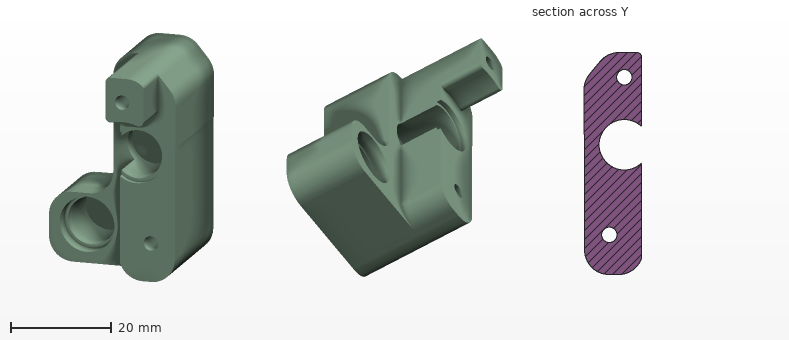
import cadquery as cq
import math

base_depth = 15.5
block_depth = 25.0
finger_depth = 34.5

height = 44.5
foot_height = 14.5
column_left = 13.5
lower_right = 29.5
upper_right = 29.63
right_jog_z = 28.1
corner_radius = 5.0
top_arc_x = 22.5
slope_angle = math.radians(50.3)

block_left = 18.0
block_bottom_arc_x = 22.7
finger_right = 26.0
finger_relief_radius = 9.5
small_radius = 1.0

foot_bore_center = (8.0, 8.0)
block_bore_center = (21.5, 26.0)
bore_radius = 5.0
bore_length = 11.5
counterbore_radius = 5.75
foot_counterbore_depth = 3.0
block_counterbore_depth = 1.0
screw_hole_centers = [(21.5, 39.5), (24.5, 8.0)]
screw_hole_radius = 1.5


def point_on_circle(center, radius, angle):
    """Point at an angle measured clockwise from +Z."""
    return (center[0] + radius * math.sin(angle), center[1] + radius * math.cos(angle))


def round_to(sketch, center, start_angle, end_angle):
    """Continue the outline with a corner arc about a center."""
    middle = point_on_circle(center, corner_radius, (start_angle + end_angle) / 2)
    end = point_on_circle(center, corner_radius, end_angle)
    return sketch.threePointArc(middle, end)


def add_right_side(sketch):
    """Continue from the start of the top right arc down to the bottom edge."""
    top_center = (top_arc_x, height - corner_radius)
    shoulder_x = upper_right - corner_radius
    shoulder_drop = (shoulder_x - top_arc_x) * math.tan(slope_angle)
    shoulder_center = (shoulder_x, top_center[1] - shoulder_drop)
    bottom_center = (lower_right - corner_radius, corner_radius)
    quarter = math.pi / 2

    sketch = round_to(sketch, top_center, 0, slope_angle)
    sketch = sketch.lineTo(*point_on_circle(shoulder_center, corner_radius, slope_angle))
    sketch = round_to(sketch, shoulder_center, slope_angle, quarter)
    sketch = sketch.lineTo(upper_right, right_jog_z).lineTo(lower_right, right_jog_z)
    sketch = sketch.lineTo(lower_right, corner_radius)
    return round_to(sketch, bottom_center, quarter, 2 * quarter)


def make_base():
    """L-shaped plate against the back face."""
    quarter = math.pi / 2
    column_center = (column_left + corner_radius, height - corner_radius)
    inner_center = (column_left - corner_radius, foot_height + corner_radius)
    foot_top_center = (corner_radius, foot_height - corner_radius)
    foot_bottom_center = (corner_radius, corner_radius)

    sketch = cq.Workplane("XZ").moveTo(column_center[0], height)
    sketch = add_right_side(sketch.lineTo(top_arc_x, height))
    sketch = sketch.lineTo(corner_radius, 0)
    sketch = round_to(sketch, foot_bottom_center, 2 * quarter, 3 * quarter)
    sketch = sketch.lineTo(0, foot_top_center[1])
    sketch = round_to(sketch, foot_top_center, 3 * quarter, 4 * quarter)
    sketch = sketch.lineTo(inner_center[0], foot_height)
    sketch = round_to(sketch, inner_center, 2 * quarter, quarter)
    sketch = sketch.lineTo(column_left, column_center[1])
    sketch = round_to(sketch, column_center, 3 * quarter, 4 * quarter)
    return sketch.close().extrude(base_depth)


def make_block(depth):
    """Raised right-hand block, from the back face to the given depth."""
    arc_center = (block_bottom_arc_x, corner_radius)
    arc_end_angle = math.pi + math.asin((block_bottom_arc_x - block_left) / corner_radius)

    sketch = cq.Workplane("XZ").moveTo(block_left + small_radius, height)
    sketch = add_right_side(sketch.lineTo(top_arc_x, height))
    sketch = sketch.lineTo(block_bottom_arc_x, 0)
    sketch = round_to(sketch, arc_center, math.pi, arc_end_angle)
    sketch = sketch.lineTo(block_left, height - small_radius)
    sketch = sketch.radiusArc((block_left + small_radius, height), small_radius)
    return sketch.close().extrude(depth)


def make_finger():
    """Top end of the block carried forward, hollowed underneath around the block bore."""
    bore_x, bore_z = block_bore_center
    window = (
        cq.Workplane("XZ")
        .moveTo(block_left, bore_z)
        .lineTo(finger_right, bore_z)
        .lineTo(finger_right, height)
        .lineTo(block_left, height)
        .close()
        .extrude(finger_depth)
    )
    relief = cq.Workplane("XZ").center(bore_x, bore_z).circle(finger_relief_radius).extrude(finger_depth)
    finger = make_block(finger_depth).intersect(window).cut(relief)
    finger = finger.faces(">X").edges("|Y").fillet(small_radius)
    return finger.edges("|Y").edges("<X").edges("<Z").fillet(small_radius)


def make_stepped_bore(center, mouth_depth, counterbore_depth):
    """Blind bore with a wider mouth, opening at the given depth."""
    ledge_depth = mouth_depth - counterbore_depth
    floor_depth = ledge_depth - bore_length
    bore = (
        cq.Workplane("XZ", origin=(0, -floor_depth, 0))
        .center(*center)
        .circle(bore_radius)
        .extrude(bore_length)
    )
    mouth = (
        cq.Workplane("XZ", origin=(0, -ledge_depth, 0))
        .center(*center)
        .circle(counterbore_radius)
        .extrude(counterbore_depth)
    )
    return bore.union(mouth)


def make_screw_holes():
    """Holes through the full depth of the part."""
    return cq.Workplane("XZ").pushPoints(screw_hole_centers).circle(screw_hole_radius).extrude(finger_depth)


result = (
    make_base()
    .union(make_block(block_depth))
    .union(make_finger())
    .cut(make_stepped_bore(foot_bore_center, base_depth, foot_counterbore_depth))
    .cut(make_stepped_bore(block_bore_center, block_depth, block_counterbore_depth))
    .cut(make_screw_holes())
)